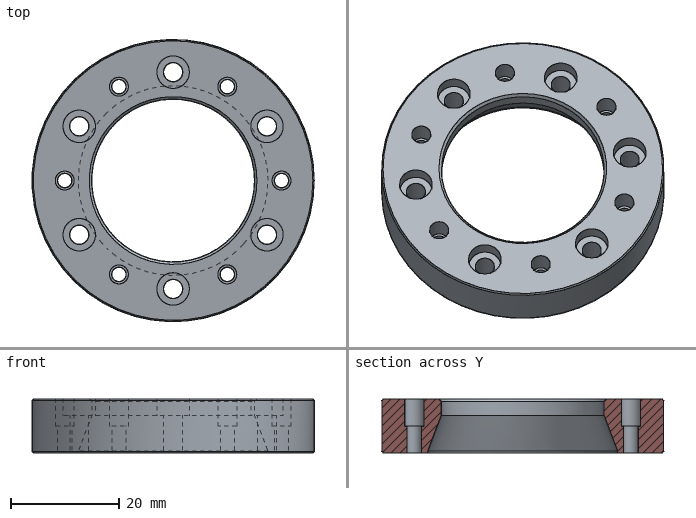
import cadquery as cq

outer_diameter = 52.15
height = 10.0
rim_chamfer = 0.25

bore_diameter = 30.05
bore_chamfer = 0.45
bore_land_depth = 3.0
mouth_diameter = 35.05
mouth_lip_height = 0.35

bolt_circle_radius = 20.0
holes_per_set = 6
bolt_diameter = 3.5
counterbore_diameter = 6.0
counterbore_depth = 3.0
small_hole_diameter = 2.6
small_counterbore_diameter = 3.5
small_counterbore_depth = 5.0


def make_ring():
    return cq.Workplane("XY").circle(outer_diameter / 2).extrude(height).edges().chamfer(rim_chamfer)


def make_bore():
    """Revolved bore cutter that widens towards the bottom face."""
    bore_radius = bore_diameter / 2
    mouth_radius = mouth_diameter / 2
    return (
        cq.Workplane("XZ")
        .lineTo(mouth_radius, 0)
        .lineTo(mouth_radius, mouth_lip_height)
        .lineTo(bore_radius, height - bore_land_depth)
        .lineTo(bore_radius, height - bore_chamfer)
        .lineTo(bore_radius + bore_chamfer, height)
        .lineTo(0, height)
        .close()
        .revolve(360, (0, 0, 0), (0, 1, 0))
    )


def cut_counterbored_set(body, start_angle, diameter, wide_diameter, wide_depth):
    """Cut one evenly spaced set of stepped through holes from the top face."""
    return (
        body.faces(">Z")
        .workplane(origin=(0, 0, height))
        .polarArray(bolt_circle_radius, start_angle, 360, holes_per_set)
        .cboreHole(diameter, wide_diameter, wide_depth)
    )


result = make_ring().cut(make_bore())
result = cut_counterbored_set(result, 30, bolt_diameter, counterbore_diameter, counterbore_depth)
result = cut_counterbored_set(
    result, 0, small_hole_diameter, small_counterbore_diameter, small_counterbore_depth
)